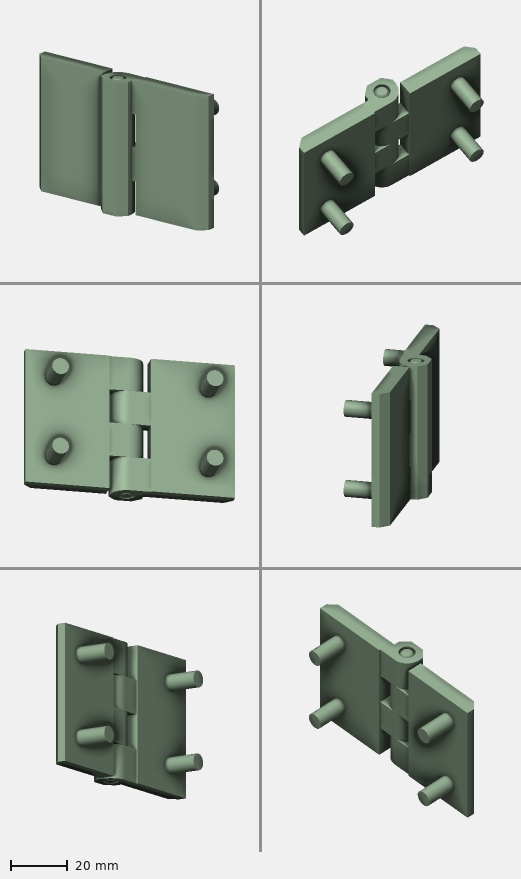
import cadquery as cq
import math


hinge_width = 76.0
hinge_height = 50.0
plate_thickness = 6.0
plate_chamfer = plate_thickness / 2
plate_inner_edge = 7.5

knuckle_count = 4
knuckle_height = hinge_height / knuckle_count
knuckle_half_width = 6.0
knuckle_front = -5.0
knuckle_chamfer = knuckle_half_width / 2
knuckle_projection = 5.5
plate_front = knuckle_front + knuckle_projection
plate_back = plate_front + plate_thickness
knuckle_radius = 5.9
rounding_start = math.sqrt(knuckle_radius**2 - plate_front**2)

pin_diameter = 6.0
pin_chamfer = 1.2

stud_diameter = 6.0
stud_length = 12.0
stud_spacing_x = 56.0
stud_spacing_z = 30.0


def extrude_along_z(outline, bottom, height):
    """Extrude a closed XY outline upwards from the level z = bottom."""
    return outline.extrude(height).translate((0, 0, bottom))


def make_plate():
    """Plate on the +X side, with its outer front edge chamfered."""
    outer_edge = hinge_width / 2
    outline = (
        cq.Workplane("XY")
        .moveTo(plate_inner_edge, plate_front)
        .lineTo(outer_edge - plate_chamfer, plate_front)
        .lineTo(outer_edge, plate_front + plate_chamfer)
        .lineTo(outer_edge, plate_back)
        .lineTo(plate_inner_edge, plate_back)
        .close()
    )
    return extrude_along_z(outline, -hinge_height / 2, hinge_height)


def make_knuckle(bottom):
    """Knuckle with a rounded back, a chamfered front and a web reaching the plate."""
    outline = (
        cq.Workplane("XY")
        .moveTo(plate_inner_edge, plate_front)
        .lineTo(plate_inner_edge, knuckle_radius)
        .lineTo(0, knuckle_radius)
        .radiusArc((-rounding_start, plate_front), -knuckle_radius)
        .lineTo(-knuckle_half_width, plate_front)
        .lineTo(-knuckle_half_width, knuckle_front + knuckle_chamfer)
        .lineTo(-knuckle_half_width + knuckle_chamfer, knuckle_front)
        .lineTo(knuckle_half_width - knuckle_chamfer, knuckle_front)
        .lineTo(knuckle_half_width, knuckle_front + knuckle_chamfer)
        .lineTo(knuckle_half_width, plate_front)
        .close()
    )
    return extrude_along_z(outline, bottom, knuckle_height)


def make_pin_cylinder():
    """Cylinder through the whole hinge, used for both the pin and its hole."""
    outline = cq.Workplane("XY").circle(pin_diameter / 2)
    return extrude_along_z(outline, -hinge_height / 2, hinge_height)


def make_leaf():
    """Leaf on the +X side; its knuckles take every second place, ending with the top one."""
    leaf = make_plate()
    for place in range(1, knuckle_count, 2):
        leaf = leaf.union(make_knuckle(-hinge_height / 2 + place * knuckle_height))
    return leaf.cut(make_pin_cylinder())


def make_pin():
    """Pin as long as the hinge, chamfered at both ends."""
    return make_pin_cylinder().faces("|Z").chamfer(pin_chamfer)


def make_stud(x, z):
    """Plain cylinder standing on the back of a plate."""
    return cq.Workplane("XZ", origin=(x, plate_back, z)).circle(stud_diameter / 2).extrude(-stud_length)


leaves = []
for turn in (0, 180):
    leaf = make_leaf().rotate((0, 0, 0), (0, 1, 0), turn)
    leaves.append(leaf.solids().val())

pin = make_pin()

studs = []
for side_x in (-1, 1):
    for side_z in (-1, 1):
        stud = make_stud(side_x * stud_spacing_x / 2, side_z * stud_spacing_z / 2)
        studs.append(stud.val())

result = cq.Compound.makeCompound([*leaves, pin.val(), *studs])